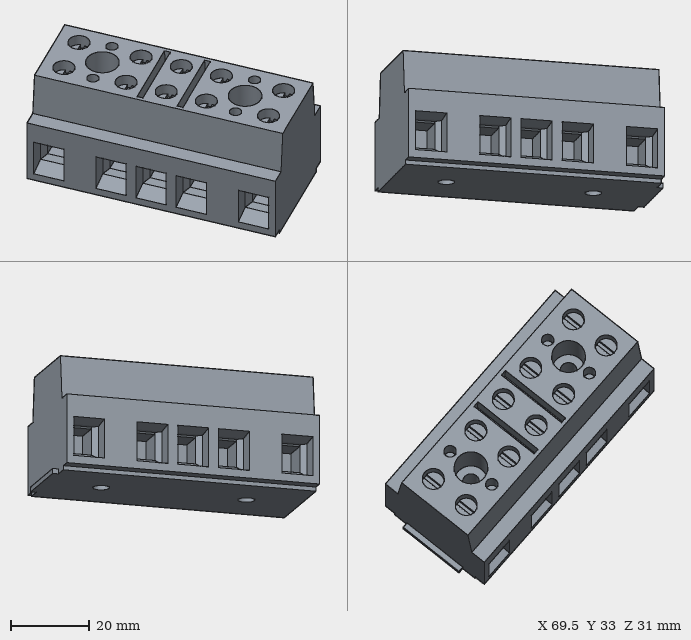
import cadquery as cq


overall_length = 69.5
body_length = 68.0
body_width = 33.0
foot_width = 26.9
foot_height = 1.1
shoulder_height = 19.4
body_height = 31.0
tower_base_width = 24.7
tower_top_width = 22.1
middle_x = body_length / 2

tab_length = overall_length - body_length
tab_width = 18.6
tab_height = 1.3

outer_pole_offset = 28.0
inner_pole_offset = 11.0
pole_offsets = [-outer_pole_offset, -inner_pole_offset, 0, inner_pole_offset, outer_pole_offset]

screw_row_offset = 5.5
screw_hole_diameter = 5.6
screw_hole_depth = 3.0
driver_slot_width = 1.2
driver_slot_depth = 1.0

mount_offset = 19.5
mount_hole_diameter = 4.3
counterbore_diameter = 8.6
counterbore_depth = body_height - shoulder_height
side_hole_offset = 6.95
side_hole_diameter = 3.1
side_hole_depth = 5.55

groove_offset = inner_pole_offset / 2
groove_top_width = 1.6
groove_floor_width = 1.1
groove_length = 20.0
groove_depth = 4.2

mouth_width = 8.3
mouth_bottom = 3.2
mouth_top = 13.55
funnel_depth = 5.0
funnel_bottom = 4.25
funnel_top = 12.9
shaft_width = 5.35
shaft_depth = 6.3
shaft_bottom = 5.5
shaft_lead_in = 0.4
shaft_top = funnel_top - shaft_lead_in
pocket_end_depth = 13.9


def make_body():
    """Extrude the stepped end profile along the block and add the end tab."""
    right_side = [
        (foot_width / 2, 0),
        (foot_width / 2, foot_height),
        (body_width / 2, foot_height),
        (body_width / 2, shoulder_height),
        (tower_base_width / 2, shoulder_height),
        (tower_top_width / 2, body_height),
    ]
    left_side = [(-y, z) for y, z in reversed(right_side)]
    block = cq.Workplane("YZ").polyline(right_side + left_side).close().extrude(body_length)
    tab = cq.Workplane("XY").box(tab_length, tab_width, tab_height, centered=(False, True, False))
    return block.union(tab.translate((-tab_length, 0, 0)))


def make_top_hole(x, y, diameter, depth):
    """Return a cylinder reaching down from the top face."""
    return cq.Workplane("XY", origin=(x, y, body_height - depth)).circle(diameter / 2).extrude(depth)


def make_screw_recess(x, y):
    """Return a screw hole with a driver slot in the screw head at its floor."""
    hole = make_top_hole(x, y, screw_hole_diameter, screw_hole_depth)
    slot_depth = screw_hole_depth + driver_slot_depth
    slot_limits = cq.Workplane("XY").box(driver_slot_width, screw_hole_diameter, body_height)
    slot = make_top_hole(x, y, screw_hole_diameter, slot_depth)
    slot = slot.intersect(slot_limits.translate((x, y, body_height)))
    return hole.union(slot)


def make_groove(x):
    """Return a groove with sloping long sides and upright ends."""
    floor = body_height - groove_depth
    outline = [
        (x - groove_top_width / 2, body_height),
        (x - groove_floor_width / 2, floor),
        (x + groove_floor_width / 2, floor),
        (x + groove_top_width / 2, body_height),
    ]
    return cq.Workplane("XZ").polyline(outline).close().extrude(groove_length / 2, both=True)


def make_pocket_stage(x, front, back):
    """Loft between two rectangles, each given as (depth, width, bottom, top)."""
    wires = []
    for depth, width, bottom, top in (front, back):
        section = cq.Workplane("XZ", origin=(x, depth - body_width / 2, (bottom + top) / 2))
        wires.append(section.rect(width, top - bottom).wire().val())
    return cq.Workplane(cq.Solid.makeLoft(wires, True))


def make_wire_pocket(x):
    """Return the wire pocket that enters from the -Y side."""
    sections = [
        (0, mouth_width, mouth_bottom, mouth_top),
        (funnel_depth, mouth_width, funnel_bottom, funnel_top),
        (shaft_depth, shaft_width, shaft_bottom, funnel_top),
        (shaft_depth + shaft_lead_in, shaft_width, shaft_bottom, shaft_top),
        (pocket_end_depth, shaft_width, shaft_bottom, shaft_top),
    ]
    pocket = make_pocket_stage(x, sections[0], sections[1])
    for front, back in zip(sections[1:], sections[2:]):
        pocket = pocket.union(make_pocket_stage(x, front, back))
    return pocket


result = make_body()

for offset in pole_offsets:
    pole_x = middle_x + offset
    front_pocket = make_wire_pocket(pole_x)
    result = result.cut(front_pocket).cut(front_pocket.mirror("XZ"))
    for screw_y in (-screw_row_offset, screw_row_offset):
        result = result.cut(make_screw_recess(pole_x, screw_y))

for side in (-1, 1):
    mount_x = middle_x + side * mount_offset
    result = result.cut(make_top_hole(mount_x, 0, mount_hole_diameter, body_height))
    result = result.cut(make_top_hole(mount_x, 0, counterbore_diameter, counterbore_depth))
    for hole_y in (-side_hole_offset, side_hole_offset):
        result = result.cut(make_top_hole(mount_x, hole_y, side_hole_diameter, side_hole_depth))
    result = result.cut(make_groove(middle_x + side * groove_offset))